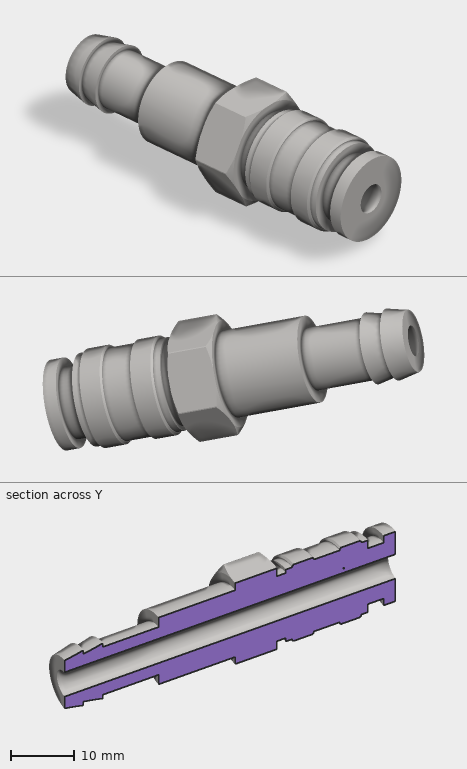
import cadquery as cq
import math

total_length = 60.0
bore_diameter = 5.0

barb_count = 2
barb_length = 3.5
barb_radius = 5.8
tail_radius = 5.05

sleeve_start = 17.05
sleeve_radius = 7.0

hex_start = 30.9
hex_length = 7.6
hex_across_flats = 17.0
hex_corner_diameter = 19.5
hex_face_diameter = 17.15
hex_chamfer_length = 0.6

neck_radius = 6.85
body_start = 40.1
body_end = 54.95
body_radius = 7.55

band_starts = (41.2, 49.8)
band_length = 4.0
band_radius = 8.05
band_chamfer = 0.3

groove_radius = 5.9
flange_length = 2.2
flange_radius = 7.3

hex_end = hex_start + hex_length
flange_start = total_length - flange_length


def cylinder(start, end, radius):
    """Round length along X between two positions."""
    return cq.Workplane("YZ").workplane(offset=start).circle(radius).extrude(end - start)


def barb(start):
    """Cone that widens along +X and ends in a sharp step."""
    end = start + barb_length
    profile = [(start, 0), (start, tail_radius), (end, barb_radius), (end, 0)]
    return cq.Workplane("XY").polyline(profile).close().revolve(360, (0, 0, 0), (1, 0, 0))


def hexagon():
    """Hexagon with flats at top and bottom, trimmed by a chamfered cylinder."""
    full_corner_diameter = hex_across_flats / math.cos(math.pi / 6)
    prism = (
        cq.Workplane("YZ")
        .workplane(offset=hex_start)
        .polygon(6, full_corner_diameter)
        .extrude(hex_length)
    )
    chamfer_height = (hex_corner_diameter - hex_face_diameter) / 2
    envelope = cylinder(hex_start, hex_end, hex_corner_diameter / 2)
    envelope = envelope.faces("<X").chamfer(hex_chamfer_length, chamfer_height)
    middle = (hex_start + hex_end) / 2
    mirrored = envelope.mirror("YZ", (middle, 0, 0))
    return prism.intersect(envelope).intersect(mirrored)


def grip_band(start):
    """Raised ring with both rims chamfered."""
    return cylinder(start, start + band_length, band_radius).edges("%CIRCLE").chamfer(band_chamfer)


result = cylinder(0, sleeve_start, tail_radius)
result = result.union(cylinder(sleeve_start, hex_start, sleeve_radius))
result = result.union(cylinder(hex_end, body_start, neck_radius))
result = result.union(cylinder(body_start, body_end, body_radius))
result = result.union(cylinder(body_end, flange_start, groove_radius))
result = result.union(cylinder(flange_start, total_length, flange_radius))

for index in range(barb_count):
    result = result.union(barb(index * barb_length))
result = result.union(hexagon())
for band_start in band_starts:
    result = result.union(grip_band(band_start))

result = result.cut(cylinder(0, total_length, bore_diameter / 2))